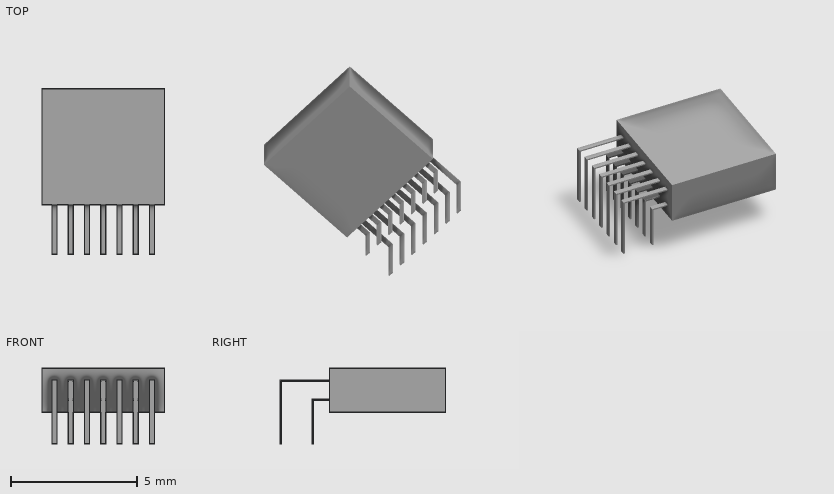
import cadquery as cq

body_width = 4.86
body_height = 1.76
overall_depth = 6.56
overall_height = 3.0

lead_count = 7
lead_pitch = 0.64
lead_width = 0.205
lead_thickness = 0.06

upper_reach = 1.955
upper_drop = 0.47
lower_reach = 0.68
lower_drop = 1.23

body_depth = overall_depth - upper_reach
foot_z = body_height - overall_height


def make_body():
    """Block with its front face at Y = 0 and its base at Z = 0."""
    return cq.Workplane("XY").box(body_width, body_depth, body_height, centered=(True, False, False))


def make_lead(x_center, reach, drop):
    """L-shaped lead leaving the front face toward -Y, then turning down to the foot level."""
    top_z = body_height - drop
    profile = [
        (0, top_z),
        (-reach, top_z),
        (-reach, foot_z),
        (-reach + lead_thickness, foot_z),
        (-reach + lead_thickness, top_z - lead_thickness),
        (0, top_z - lead_thickness),
    ]
    return (
        cq.Workplane("YZ", origin=(x_center, 0, 0))
        .polyline(profile)
        .close()
        .extrude(lead_width / 2, both=True)
    )


result = make_body()
for index in range(lead_count):
    lead_x = (index - (lead_count - 1) / 2) * lead_pitch
    result = result.union(make_lead(lead_x, upper_reach, upper_drop))
    result = result.union(make_lead(lead_x, lower_reach, lower_drop))